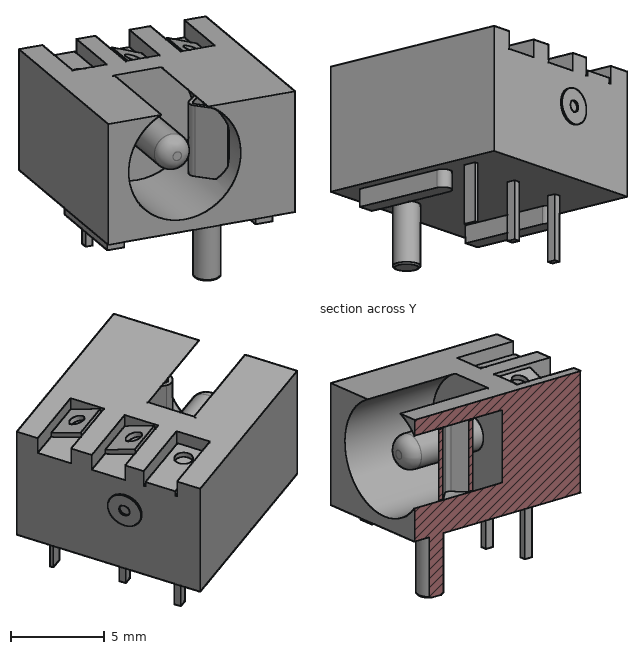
import cadquery as cq
import math

BODY_LENGTH = 11.5
BODY_WIDTH = 11.0
BODY_HEIGHT = 7.0

AXIS_Y = -1.0
AXIS_Z = 4.0
CAVITY_RADIUS = 3.3
CAVITY_START = 5.45

PIN_RADIUS = 1.0
PIN_REAR = -0.1
PIN_TIP = 10.5
PIN_TIP_FILLET = 0.75
PIN_RECESS_RADIUS = 0.32
PIN_RECESS_DEPTH = 0.1

SPRING_THICKNESS = 0.23
SPRING_BEND_RADIUS = 0.5
SPRING_BEND_X = 8.64
SPRING_BEND_Y = 1.08
SPRING_ARM = 2.4
SPRING_HEIGHT = 4.1

POCKET_LENGTH = 3.9
POCKET_WIDTH = 2.0
POCKET_DEPTH = 1.0
POCKET_FLOOR = BODY_HEIGHT - POCKET_DEPTH
TILTED_POCKET_SIDES = (4.24, 1.0)
FLAT_POCKET_SIDE = -2.11

TAB_START = 1.6
TAB_TILT = 20.0
TAB_THICKNESS = 0.3
TAB_REACH = 1.77
TAB_FOOT_RISE = 0.25
TAB_HOLE_X = 2.84
TAB_HOLE_RADII = (0.43, 0.46)
TAB_HOLE_OFFSETS = (0.9, 1.08)

FLAT_TAB_GAP = 0.11
FLAT_TAB_THICKNESS = 0.3
FLAT_TAB_HOLE_X = 2.77
FLAT_TAB_HOLE_RADIUS = 0.5

LEGS = (
    (2.12, 0.76, 4.48, 0.2, 3.3),
    (2.65, 0.5, 0.5, 0.4, 3.3),
    (2.64, 0.5, -2.8, 0.4, 3.7),
)

RAIL_START = 4.08
RAIL_END = 9.99
RAIL_WIDTH = 1.0
RAIL_HEIGHT = 1.0
RAIL_Y = 4.36

POST_X = RAIL_END
POST_Y = 1.0
POST_RADIUS = 0.75
POST_LENGTH = 3.5
POST_CHAMFER = 0.1


def box(x_start, x_size, y_start, y_size, z_start, z_size):
    """Axis-aligned block from its lowest corner and its sizes."""
    block = cq.Workplane("XY").box(x_size, y_size, z_size, centered=False)
    return block.translate((x_start, y_start, z_start))


def axial_cylinder(radius, x_start, x_end):
    """Cylinder about the plug axis."""
    return (
        cq.Workplane("YZ", origin=(x_start, AXIS_Y, AXIS_Z))
        .circle(radius)
        .extrude(x_end - x_start)
    )


def pocket(side):
    """Pocket cutter whose +Y wall is at y = side."""
    return box(0, POCKET_LENGTH, side - POCKET_WIDTH, POCKET_WIDTH, POCKET_FLOOR, POCKET_DEPTH)


def tilted_tab(side, hole_radius, hole_offset):
    """Tab sloping up from the +Y wall, with a hole square to its upper face."""
    tilt = math.radians(TAB_TILT)
    slope_length = TAB_REACH / math.cos(tilt)
    upper_face = cq.Plane(
        origin=(TAB_START, side, POCKET_FLOOR + TAB_FOOT_RISE),
        xDir=(0, -math.cos(tilt), math.sin(tilt)),
        normal=(0, math.sin(tilt), math.cos(tilt)),
    )
    tab_length = POCKET_LENGTH - TAB_START
    slab = (
        cq.Workplane(upper_face)
        .box(2 * slope_length, 2 * tab_length, TAB_THICKNESS, centered=(True, True, False))
        .translate(upper_face.zDir * -TAB_THICKNESS)
    )
    hole = (
        cq.Workplane(upper_face)
        .center(hole_offset / math.cos(tilt), TAB_HOLE_X - TAB_START)
        .circle(hole_radius)
        .extrude(2 * TAB_THICKNESS, both=True)
    )
    room = box(TAB_START, tab_length, side - POCKET_WIDTH, POCKET_WIDTH, POCKET_FLOOR, POCKET_DEPTH)
    return slab.cut(hole).intersect(room)


def flat_tab():
    width = POCKET_WIDTH - 2 * FLAT_TAB_GAP
    y_start = FLAT_POCKET_SIDE - FLAT_TAB_GAP - width
    tab = box(0, POCKET_LENGTH - FLAT_TAB_GAP, y_start, width, POCKET_FLOOR, FLAT_TAB_THICKNESS)
    hole = (
        cq.Workplane("XY", origin=(FLAT_TAB_HOLE_X, y_start + width / 2, POCKET_FLOOR))
        .circle(FLAT_TAB_HOLE_RADIUS)
        .extrude(FLAT_TAB_THICKNESS)
    )
    return tab.cut(hole)


def centre_pin():
    pin = axial_cylinder(PIN_RADIUS, PIN_REAR, PIN_TIP).faces(">X").edges().fillet(PIN_TIP_FILLET)
    return pin.cut(axial_cylinder(PIN_RECESS_RADIUS, PIN_REAR, PIN_REAR + PIN_RECESS_DEPTH))


def contact_spring():
    """Right-angled strip with a rounded bend that points towards -Y."""
    bend = SPRING_BEND_RADIUS
    arms = cq.Workplane("XY").rect(SPRING_ARM, SPRING_ARM, centered=False).extrude(SPRING_HEIGHT)
    arms = arms.edges("|Z and <X and <Y").fillet(bend)
    gap = (
        cq.Workplane("XY", origin=(SPRING_THICKNESS, SPRING_THICKNESS, 0))
        .rect(SPRING_ARM, SPRING_ARM, centered=False)
        .extrude(SPRING_HEIGHT)
        .edges("|Z and <X and <Y")
        .fillet(bend - SPRING_THICKNESS)
    )
    return (
        arms.cut(gap)
        .translate((-bend, -bend, 0))
        .rotate((0, 0, 0), (0, 0, 1), 45)
        .translate((SPRING_BEND_X, SPRING_BEND_Y, AXIS_Z - SPRING_HEIGHT / 2))
    )


def rail(y_centre):
    radius = RAIL_WIDTH / 2
    nose_x = RAIL_START + radius
    return (
        cq.Workplane("XY")
        .moveTo(RAIL_END, y_centre - radius)
        .lineTo(nose_x, y_centre - radius)
        .threePointArc((RAIL_START, y_centre), (nose_x, y_centre + radius))
        .lineTo(RAIL_END, y_centre + radius)
        .close()
        .extrude(-RAIL_HEIGHT)
    )


def locating_post():
    post = cq.Workplane("XY").center(POST_X, POST_Y).circle(POST_RADIUS).extrude(-POST_LENGTH)
    return post.faces("<Z").chamfer(POST_CHAMFER)


result = box(0, BODY_LENGTH, -BODY_WIDTH / 2, BODY_WIDTH, 0, BODY_HEIGHT)
result = result.cut(axial_cylinder(CAVITY_RADIUS, CAVITY_START, BODY_LENGTH))
result = result.union(centre_pin()).union(contact_spring())

for side, hole_radius, hole_offset in zip(TILTED_POCKET_SIDES, TAB_HOLE_RADII, TAB_HOLE_OFFSETS):
    result = result.cut(pocket(side)).union(tilted_tab(side, hole_radius, hole_offset))
result = result.cut(pocket(FLAT_POCKET_SIDE)).union(flat_tab())

for x_start, x_size, y_centre, y_size, length in LEGS:
    result = result.union(box(x_start, x_size, y_centre - y_size / 2, y_size, -length, length))
for y_centre in (-RAIL_Y, RAIL_Y):
    result = result.union(rail(y_centre))
result = result.union(locating_post())